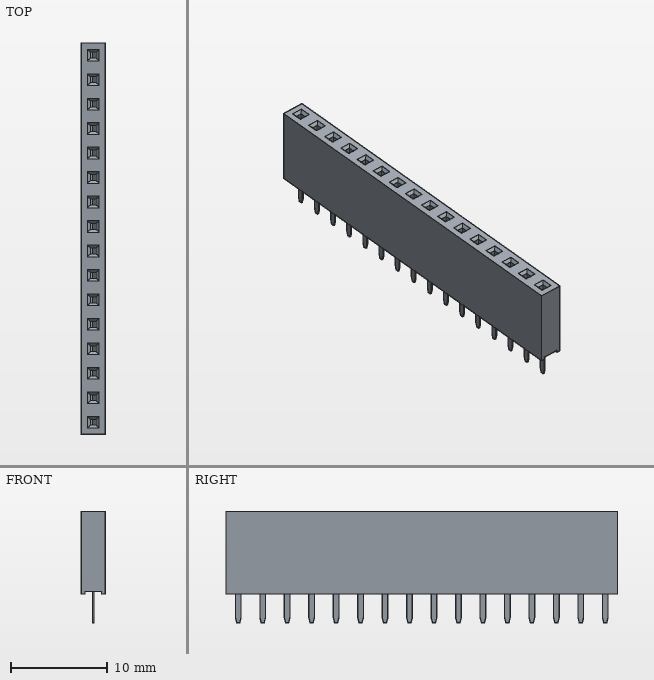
import cadquery as cq

pin_count = 16
body_length = 40.65
total_height = 11.6
pin_reach = 3.0

pitch = body_length / pin_count
body_width = pitch
body_height = total_height - pin_reach
channel_width = 1.7
channel_height = 0.25

pin_width = 0.6
pin_thickness = 0.15
tip_width = 0.33
tip_length = 0.55

hole_size = pin_width
mouth_depth = 0.3
mouth_size = hole_size + 2 * mouth_depth
hole_depth = 4.05
blade_drop = 1.2

pin_positions = [(0, (i - (pin_count - 1) / 2) * pitch) for i in range(pin_count)]


def make_body():
    """Long rectangular block with a channel along the underside."""
    block = cq.Workplane("XY").box(body_width, body_length, body_height, centered=(True, True, False))
    channel = cq.Workplane("XY").box(channel_width, body_length, channel_height, centered=(True, True, False))
    return block.cut(channel)


def make_socket():
    """Cutter for one socket, centred on the Z axis."""
    mouth = (
        cq.Workplane("XY", origin=(0, 0, body_height))
        .rect(mouth_size, mouth_size)
        .workplane(offset=-mouth_depth)
        .rect(hole_size, hole_size)
        .loft(ruled=True)
    )
    hole = (
        cq.Workplane("XY", origin=(0, 0, body_height - hole_depth))
        .rect(hole_size, hole_size)
        .extrude(hole_depth - mouth_depth)
    )
    return mouth.union(hole)


def make_pin():
    """Flat pin with a tapered lower tip, centred on the Z axis."""
    blade_top = body_height - blade_drop
    half_width = pin_width / 2
    half_tip = tip_width / 2
    taper_start = tip_length - pin_reach
    outline = [
        (-half_width, blade_top),
        (-half_width, taper_start),
        (-half_tip, -pin_reach),
        (half_tip, -pin_reach),
        (half_width, taper_start),
        (half_width, blade_top),
    ]
    return cq.Workplane("YZ").polyline(outline).close().extrude(pin_thickness / 2, both=True)


def repeat_at_pins(shape):
    """Copies of one shape at every pin position."""
    solid = shape.val()
    return cq.Workplane("XY").pushPoints(pin_positions).eachpoint(lambda place: solid.moved(place))


sockets = repeat_at_pins(make_socket())
pins = repeat_at_pins(make_pin())
result = make_body().cut(sockets).union(pins)